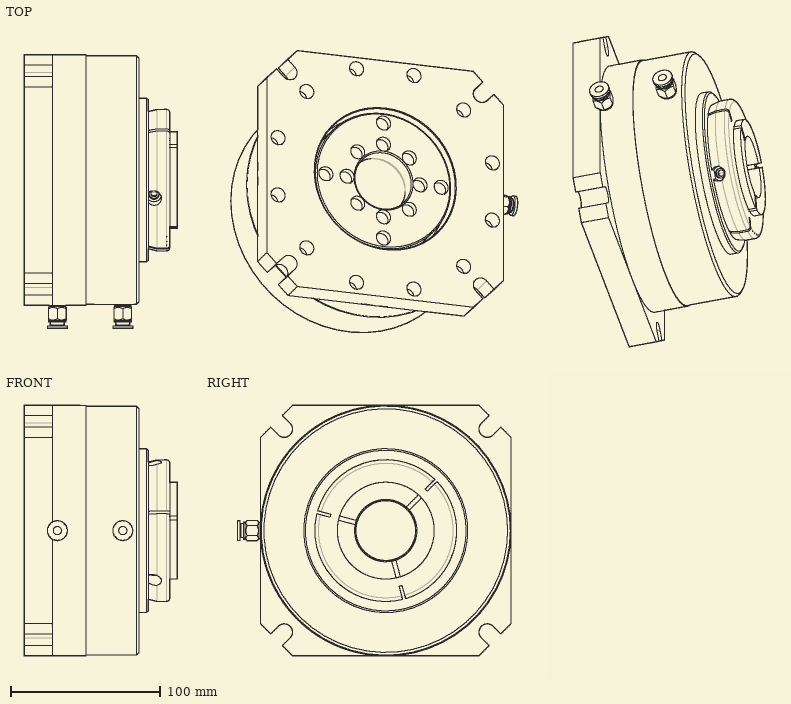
import cadquery as cq
import math

plate_size = 168.0
cover_dia = 167.0
boss_dia = 110.0
clamp_dia = 95.0
shaft_dia = 65.0

rotor_face_x = 3.5
plate_back_x = 18.9
base_back_x = 41.5
cover_back_x = 77.0
boss_back_x = 83.1
clamp_back_x = 97.6
shaft_end_x = 102.5

corner_flat_half = 62.4
corner_slot_width = 11.0
corner_slot_center = 68.0

screw_hole_dia = 10.0
plate_hole_circle_radius = 78.7
plate_hole_count = 12
plate_hole_depth = 14.7
rotor_inner_circle_radius = 25.9
rotor_inner_hole_count = 8
rotor_outer_circle_radius = 41.0
rotor_outer_hole_count = 4
rotor_hole_depth = 5.3

recess_dia = 99.8
recess_chamfer = 0.5
rotor_dia = 96.0
rotor_chamfer = 1.0
rotor_bore_dia = 40.0
rotor_bore_end_x = 16.7
bore_taper_end_x = 19.6
shaft_bore_dia = 41.8

cover_chamfer = 1.8
boss_chamfer = 1.1

clamp_front_dia = 92.1
clamp_cone_end_x = 89.0
clamp_fillet = 2.4
slit_first_angle = 45.0
slit_count = 3
slit_pitch = 360.0 / slit_count
clamp_slit_width = 2.0
clamp_slit_depth = 9.2
shaft_slit_width = 3.0
clamp_hole_x = 87.0
clamp_hole_steps = [(10.0, 37.6), (6.6, 34.9), (4.2, shaft_dia / 2)]

overcut = 1.8

fitting_x = [22.2, 66.0]
fitting_seat = plate_size / 2
shank_dia = 8.0
shank_length = 5.5
neck_dia = 11.0
neck_length = 0.7
hex_flats = 12.0
hex_length = 9.5
hex_chamfer = 1.5
shoulder_dia = 11.7
shoulder_length = 1.0
sleeve_dia = 9.5
sleeve_length = 1.8
groove_dia = 8.0
groove_length = 0.5
flange_dia = 13.4
flange_length = 1.8
fitting_bore_dia = 5.5
fitting_bore_depth = 11.0


def cylinder_x(diameter, start, end):
    """Cylinder on the main axis between two X stations."""
    return cq.Workplane("YZ").workplane(offset=start).circle(diameter / 2).extrude(end - start)


def hole_ring(count, circle_radius, first_angle, start, depth):
    """Cutters for a circle of screw holes entering from the X station `start`."""
    return (
        cq.Workplane("YZ").workplane(offset=start)
        .polarArray(circle_radius, first_angle, 360, count)
        .circle(screw_hole_dia / 2).extrude(depth)
    )


def slit(angle, width, inner_radius, outer_radius, start, end):
    """Radial slit cutter at an angle measured from +Y towards +Z."""
    return (
        cq.Workplane("XY")
        .box(end - start, outer_radius - inner_radius, width, centered=(False, False, True))
        .translate((start, inner_radius, 0))
        .rotate((0, 0, 0), (1, 0, 0), angle)
    )


def slit_angles():
    return [slit_first_angle + i * slit_pitch for i in range(slit_count)]


def port_hole(x):
    """Cutter for the hole that takes a fitting's shank."""
    return (
        cq.Workplane("XZ", origin=(x, -fitting_seat, 0))
        .circle(shank_dia / 2).extrude(-shank_length)
    )


def make_plate():
    half = plate_size / 2
    plate = (
        cq.Workplane("YZ").rect(plate_size, plate_size).extrude(plate_back_x)
        .edges("|X").chamfer(half - corner_flat_half)
    )
    center_radius = corner_slot_center * math.sqrt(2)
    slot_reach = half
    slot = (
        cq.Workplane("YZ")
        .center(center_radius, 0).circle(corner_slot_width / 2).extrude(plate_back_x)
        .union(
            cq.Workplane("YZ").center(center_radius + slot_reach / 2, 0)
            .rect(slot_reach, corner_slot_width).extrude(plate_back_x)
        )
    )
    for i in range(4):
        plate = plate.cut(slot.rotate((0, 0, 0), (1, 0, 0), 45 + 90 * i))
    return plate


def make_base():
    hole_pitch = 360 / plate_hole_count
    drum = cylinder_x(plate_size, plate_back_x, base_back_x)
    recess = cylinder_x(recess_dia, 0, plate_back_x)
    recess_mouth = cq.Workplane(
        cq.Solid.makeCone(
            recess_dia / 2 + recess_chamfer, recess_dia / 2, recess_chamfer,
            cq.Vector(0, 0, 0), cq.Vector(1, 0, 0),
        )
    )
    return (
        make_plate().union(drum)
        .cut(recess)
        .cut(recess_mouth)
        .cut(cylinder_x(shaft_dia, plate_back_x, base_back_x))
        .cut(hole_ring(plate_hole_count, plate_hole_circle_radius, hole_pitch / 2, 0, plate_hole_depth))
        .cut(port_hole(fitting_x[0]))
    )


def make_cover():
    drum = cylinder_x(cover_dia, base_back_x, cover_back_x).faces(">X").edges().chamfer(cover_chamfer)
    boss = cylinder_x(boss_dia, cover_back_x, boss_back_x).faces(">X").edges().chamfer(boss_chamfer)
    return (
        drum.union(boss)
        .cut(cylinder_x(shaft_dia, base_back_x, boss_back_x))
        .cut(port_hole(fitting_x[1]))
    )


def make_rotor():
    """Rotor disc with its hollow, slit shaft."""
    rotor_radius = rotor_dia / 2
    bore_radius = rotor_bore_dia / 2
    shaft_bore_radius = shaft_bore_dia / 2
    profile = [
        (rotor_face_x, bore_radius + rotor_chamfer),
        (rotor_face_x, rotor_radius - rotor_chamfer),
        (rotor_face_x + rotor_chamfer, rotor_radius),
        (plate_back_x, rotor_radius),
        (plate_back_x, shaft_dia / 2),
        (shaft_end_x, shaft_dia / 2),
        (shaft_end_x, shaft_bore_radius),
        (bore_taper_end_x, shaft_bore_radius),
        (rotor_bore_end_x, bore_radius),
        (rotor_face_x + rotor_chamfer, bore_radius),
    ]
    rotor = cq.Workplane("XY").polyline(profile).close().revolve(360, (0, 0, 0), (1, 0, 0))
    rotor = rotor.cut(
        hole_ring(rotor_inner_hole_count, rotor_inner_circle_radius, 0, rotor_face_x, rotor_hole_depth)
    )
    rotor = rotor.cut(
        hole_ring(rotor_outer_hole_count, rotor_outer_circle_radius, 0, rotor_face_x, rotor_hole_depth)
    )
    for angle in slit_angles():
        rotor = rotor.cut(slit(angle, shaft_slit_width, bore_radius, rotor_radius, boss_back_x, shaft_end_x))
    return rotor


def clamp_hole(angle):
    """Stepped radial hole cutter through the clamp ring's wall."""
    cutter = cq.Workplane("XY")
    for diameter, end_radius in clamp_hole_steps:
        step = (
            cq.Workplane("XZ", origin=(clamp_hole_x, end_radius, 0))
            .circle(diameter / 2).extrude(-(clamp_dia / 2 - end_radius + overcut))
        )
        cutter = cutter.union(step)
    return cutter.rotate((0, 0, 0), (1, 0, 0), angle)


def make_clamp_ring():
    outer_radius = clamp_dia / 2
    profile = [
        (boss_back_x, shaft_dia / 2),
        (boss_back_x, clamp_front_dia / 2),
        (clamp_cone_end_x, outer_radius),
        (clamp_back_x, outer_radius),
        (clamp_back_x, shaft_dia / 2),
    ]
    ring = cq.Workplane("XY").polyline(profile).close().revolve(360, (0, 0, 0), (1, 0, 0))
    ring = ring.faces(">X").edges(cq.selectors.RadiusNthSelector(-1)).fillet(clamp_fillet)
    for angle in slit_angles():
        slit_floor = outer_radius - clamp_slit_depth
        ring = ring.cut(
            slit(angle, clamp_slit_width, slit_floor, outer_radius + overcut, boss_back_x, clamp_back_x)
        )
        ring = ring.cut(clamp_hole(angle + slit_pitch / 2))
    return ring


def make_hex_nut():
    """Hexagon along +X with both ends turned down to a cone, one corner pointing to +Z."""
    corner_dia = hex_flats / math.cos(math.pi / 6)
    turned_blank = cylinder_x(corner_dia, neck_length, neck_length + hex_length).edges().chamfer(hex_chamfer)
    prism = (
        cq.Workplane("YZ").workplane(offset=neck_length)
        .polygon(6, corner_dia).extrude(hex_length)
        .rotate((0, 0, 0), (1, 0, 0), 90)
    )
    return prism.intersect(turned_blank)


def make_fitting(x):
    """Push-in air fitting: turned along +X from its seat, then pointed to -Y at station `x`."""
    turned_steps = [
        (shank_dia, shank_length),
        (neck_dia, neck_length + hex_length),
        (shoulder_dia, shoulder_length),
        (sleeve_dia, sleeve_length),
        (groove_dia, groove_length),
        (flange_dia, flange_length),
    ]
    position = -shank_length
    profile = [(position, 0)]
    for diameter, length in turned_steps:
        profile.append((position, diameter / 2))
        position += length
        profile.append((position, diameter / 2))
    profile.append((position, 0))
    fitting = cq.Workplane("XY").polyline(profile).close().revolve(360, (0, 0, 0), (1, 0, 0))
    bore = cylinder_x(fitting_bore_dia, position - fitting_bore_depth, position)
    return (
        fitting.union(make_hex_nut())
        .cut(bore)
        .rotate((0, 0, 0), (0, 0, 1), -90)
        .translate((x, -fitting_seat, 0))
    )


base = make_base()
cover = make_cover()
rotor = make_rotor()
clamp_ring = make_clamp_ring()
fittings = [make_fitting(x) for x in fitting_x]

result = cq.Compound.makeCompound(
    [base.val(), cover.val(), rotor.val(), clamp_ring.val()] + [fitting.val() for fitting in fittings]
)